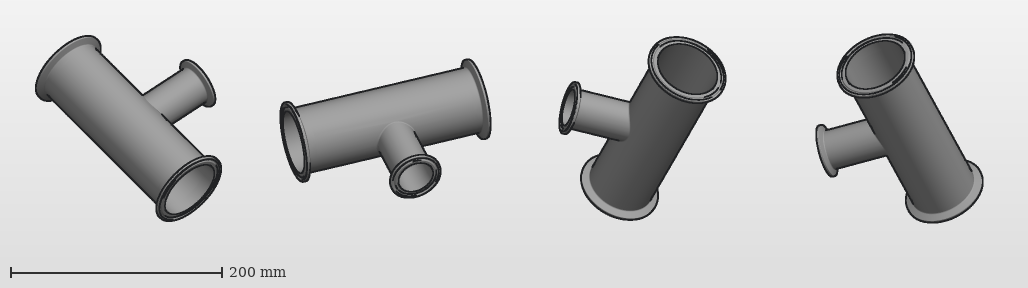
import cadquery as cq
import math


RUN_LENGTH = 184.15
RUN_OUTER_DIAMETER = 63.5
RUN_BORE = 60.2
RUN_FLANGE_DIAMETER = 77.39
RUN_GROOVE_DIAMETER = 70.64

BRANCH_REACH = 85.725
BRANCH_OUTER_DIAMETER = 38.1
BRANCH_BORE = 34.8
BRANCH_FLANGE_DIAMETER = 50.39
BRANCH_GROOVE_DIAMETER = 43.64

FERRULE_LENGTH = 12.7
RIM_THICKNESS = 2.87
TAPER_ANGLE = 20.0
RIM_EDGE_RADIUS = 0.4
NECK_RADIUS = 1.0
GROOVE_WIDTH = 2.6
GROOVE_DEPTH = 1.2
GROOVE_EDGE_RADIUS = 0.5

JOINT_RADIUS = 1.3

MATCH_TOLERANCE = 0.001


def round_circle(body, circle_radius, height, fillet_radius):
    """Fillet the circular edge of the given radius at the given height on the Z axis."""

    def matches(edge):
        same_radius = math.isclose(edge.radius(), circle_radius, abs_tol=MATCH_TOLERANCE)
        same_height = math.isclose(edge.Center().z, height, abs_tol=MATCH_TOLERANCE)
        return same_radius and same_height

    return body.edges("%CIRCLE").filter(matches).fillet(fillet_radius)


def make_ferrule(outer_diameter, bore, flange_diameter, groove_diameter):
    """Clamp ferrule on the Z axis: end face at Z = 0, neck toward +Z."""
    outer_radius = outer_diameter / 2
    bore_radius = bore / 2
    flange_radius = flange_diameter / 2
    taper_length = (flange_radius - outer_radius) * math.tan(math.radians(TAPER_ANGLE))
    neck_start = RIM_THICKNESS + taper_length
    groove_inner = (groove_diameter - GROOVE_WIDTH) / 2
    groove_outer = (groove_diameter + GROOVE_WIDTH) / 2

    body = (
        cq.Workplane("XZ")
        .moveTo(bore_radius, 0)
        .lineTo(groove_inner, 0)
        .threePointArc((groove_diameter / 2, GROOVE_DEPTH), (groove_outer, 0))
        .lineTo(flange_radius, 0)
        .lineTo(flange_radius, RIM_THICKNESS)
        .lineTo(outer_radius, neck_start)
        .lineTo(outer_radius, FERRULE_LENGTH)
        .lineTo(bore_radius, FERRULE_LENGTH)
        .close()
        .revolve(360, (0, 0, 0), (0, 1, 0))
    )

    body = round_circle(body, flange_radius, 0, RIM_EDGE_RADIUS)
    body = round_circle(body, flange_radius, RIM_THICKNESS, RIM_EDGE_RADIUS)
    body = round_circle(body, groove_inner, 0, GROOVE_EDGE_RADIUS)
    body = round_circle(body, groove_outer, 0, GROOVE_EDGE_RADIUS)
    return round_circle(body, outer_radius, neck_start, NECK_RADIUS)


def cylinder(plane, diameter, length, both=False):
    """Cylinder from the origin along the plane's normal, or centred on the origin if both."""
    disc = cq.Workplane(plane).circle(diameter / 2)
    if both:
        return disc.extrude(length / 2, both=True)
    return disc.extrude(length)


def run_ferrule(side):
    """Run ferrule with its end face at the -X end (side = -1) or the +X end (side = 1)."""
    ferrule = make_ferrule(RUN_OUTER_DIAMETER, RUN_BORE, RUN_FLANGE_DIAMETER, RUN_GROOVE_DIAMETER)
    return ferrule.rotate((0, 0, 0), (0, 1, 0), -90 * side).translate((side * RUN_LENGTH / 2, 0, 0))


def branch_ferrule():
    """Branch ferrule with its end face at the +Y end of the branch."""
    ferrule = make_ferrule(
        BRANCH_OUTER_DIAMETER, BRANCH_BORE, BRANCH_FLANGE_DIAMETER, BRANCH_GROOVE_DIAMETER
    )
    return ferrule.rotate((0, 0, 0), (1, 0, 0), 90).translate((0, BRANCH_REACH, 0))


def tee_body():
    """Hollow run and branch tubes, with the outside of their joint rounded."""
    run_tube_length = RUN_LENGTH - 2 * FERRULE_LENGTH
    branch_tube_length = BRANCH_REACH - FERRULE_LENGTH
    run_outside = cylinder("YZ", RUN_OUTER_DIAMETER, run_tube_length, both=True)
    branch_outside = cylinder("ZX", BRANCH_OUTER_DIAMETER, branch_tube_length)
    outside = run_outside.union(branch_outside)
    outside = outside.edges("not(%CIRCLE or %LINE)").fillet(JOINT_RADIUS)
    run_bore = cylinder("YZ", RUN_BORE, run_tube_length, both=True)
    branch_bore = cylinder("ZX", BRANCH_BORE, branch_tube_length)
    return outside.cut(run_bore).cut(branch_bore)


result = tee_body()
for ferrule in (run_ferrule(-1), run_ferrule(1), branch_ferrule()):
    result = result.union(ferrule, clean=False)